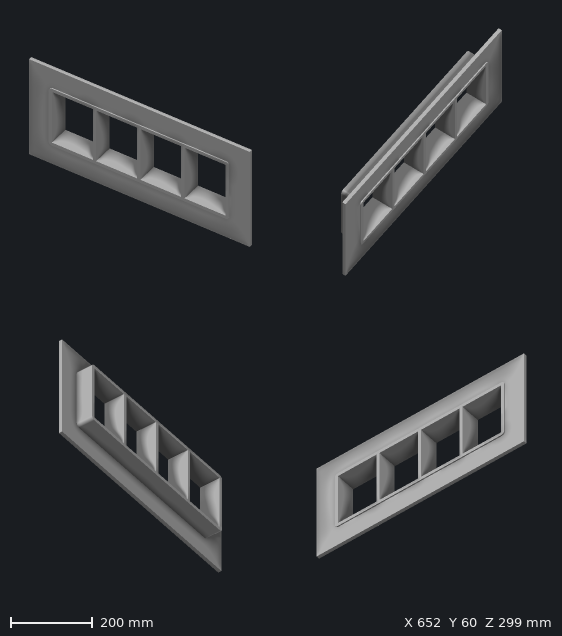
import cadquery as cq

plate_length = 652.0
plate_thickness = 10.0
plate_height = 299.0

plate_margin = 60.0
frame_length = plate_length - 2 * plate_margin
frame_height = plate_height - 2 * plate_margin
frame_depth = 60.0
frame_front_lip = 3.0
corner_radius = 10.0

window_count = 4
wall = 10.0
window_width = (frame_length - (window_count + 1) * wall) / window_count
window_height = frame_height - 2 * wall
window_pitch = window_width + wall


def block(length, depth, height, front_y):
    """Block centred in X and Z, extending in +Y from its front face."""
    return cq.Workplane("XY").box(length, depth, height, centered=(True, False, True)).translate((0, front_y, 0))


plate = block(plate_length, plate_thickness, plate_height, 0)
frame = block(frame_length, frame_depth, frame_height, -frame_front_lip).edges("|Y").fillet(corner_radius)
result = plate.union(frame)

for index in range(window_count):
    window_x = (index - (window_count - 1) / 2) * window_pitch
    window = block(window_width, frame_depth, window_height, -frame_front_lip)
    result = result.cut(window.translate((window_x, 0, 0)))